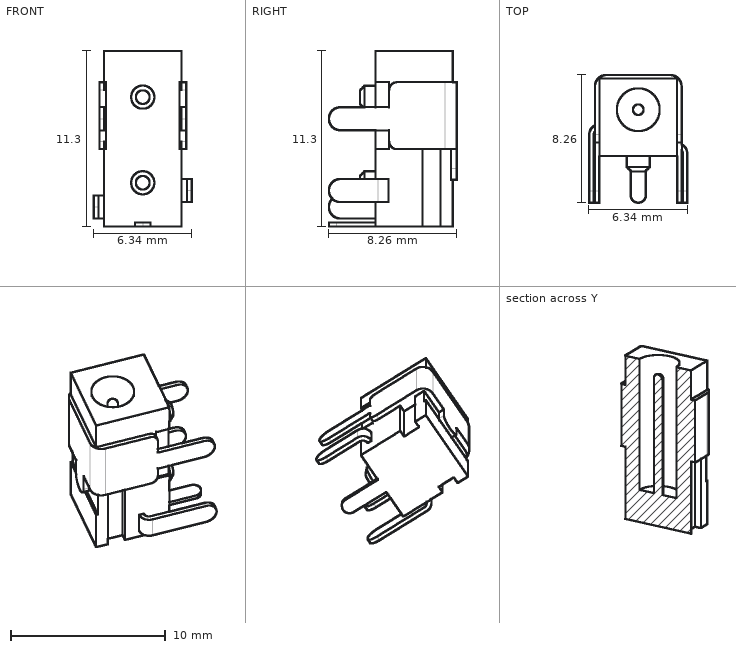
import cadquery as cq

body_side = 5.0
body_height = 11.35
half_side = body_side / 2
front_y = -half_side

socket_y = 0.5
socket_radius = 1.38
socket_depth = 9.08
contact_radius = 0.34
contact_tip_z = body_height - 0.8

end_rounding = 0.999
sheet = 0.31
terminal_reach = 3.01
terminal_end_y = front_y - terminal_reach
tail_width = 1.5
bent_tail_outer_x = 3.172
left_tail_bottom_z = 0.52
left_tail_back_y = -0.44
right_tail_bottom_z = 1.59
right_tail_back_y = -1.67
bottom_tail_width = 1.0
bottom_tail_thickness = 0.28

shell_bottom_z = 5.0
shell_height = 4.32
shell_outer_x = half_side + sheet
shell_back_y = half_side + 0.25
shell_corner_radius = 0.77
shell_front_y = front_y + 0.9
shell_edge_radius = 0.5
shell_tail_bottom_z = 6.22
tab_length = 1.99

relief_depth = 0.12
groove_depth = 0.45
groove_front_y = 0.53
groove_back_y = 1.69

peg_radius = 0.75
peg_length = 1.0
peg_chamfer = 0.31
peg_heights = (2.84, 8.36)


def box(x0, x1, y0, y1, z0, z1):
    """Box between opposite corner coordinates."""
    return cq.Workplane("XY").box(x1 - x0, y1 - y0, z1 - z0, centered=False).translate((x0, y0, z0))


def upright_tail(x0, back_y, bottom_z):
    """Flat tail in the YZ plane with a fully rounded front end."""
    radius = tail_width / 2
    tail = box(x0, x0 + sheet, terminal_end_y, back_y, bottom_z, bottom_z + tail_width)
    return tail.edges("|X and <Y").fillet(radius * end_rounding)


def bent_tail(side, back_y, bottom_z):
    """Tail leaving a housing side face and bending forward; side is -1 or 1."""
    bend_radius = bent_tail_outer_x - half_side
    inner_radius = bend_radius - sheet
    bend_y = back_y - bend_radius
    ring = (
        cq.Workplane("XY", origin=(side * half_side, bend_y, bottom_z))
        .circle(bend_radius)
        .circle(inner_radius)
        .extrude(tail_width)
    )
    inside_x = half_side - sheet
    x0, x1 = sorted((side * inside_x, side * bent_tail_outer_x))
    bend = ring.intersect(box(x0, x1, bend_y, back_y, bottom_z, bottom_z + tail_width))
    tail_x0 = min(side * bent_tail_outer_x, side * (bent_tail_outer_x - sheet))
    return bend.union(upright_tail(tail_x0, bend_y, bottom_z))


def make_shell():
    """U-shaped shell with two forward tails and a rounded tab on its back."""
    top_z = shell_bottom_z + shell_height
    outer = box(-shell_outer_x, shell_outer_x, shell_front_y, shell_back_y, shell_bottom_z, top_z)
    outer = outer.edges("|Z and >Y").fillet(shell_corner_radius)
    inner = box(-half_side, half_side, shell_front_y, shell_back_y - sheet, shell_bottom_z, top_z)
    inner = inner.edges("|Z and >Y").fillet(shell_corner_radius - sheet)
    shell = outer.cut(inner).edges("|X and <Y").fillet(shell_edge_radius)
    for x0 in (-shell_outer_x, half_side):
        shell = shell.union(upright_tail(x0, shell_front_y + shell_edge_radius, shell_tail_bottom_z))
    tab = box(
        -tail_width / 2, tail_width / 2,
        half_side - relief_depth, shell_back_y,
        shell_bottom_z - tab_length, shell_bottom_z,
    )
    return shell.union(tab.edges("|Y and <Z").fillet(tail_width / 2 * end_rounding))


def make_housing():
    """Block with side grooves, reliefs around the shell, and the socket."""
    housing = box(-half_side, half_side, front_y, half_side, 0, body_height)
    top_z = shell_bottom_z + shell_height
    for side in (-1, 1):
        relief_x = sorted((side * half_side, side * (half_side - relief_depth)))
        housing = housing.cut(box(*relief_x, front_y, shell_front_y, shell_bottom_z, top_z))
        groove_x = sorted((side * half_side, side * (half_side - groove_depth)))
        housing = housing.cut(box(*groove_x, groove_front_y, groove_back_y, 0, shell_bottom_z))
    tab_relief = box(
        -half_side, half_side,
        half_side - relief_depth, half_side,
        shell_bottom_z - tab_length, shell_bottom_z,
    )
    socket = (
        cq.Workplane("XY", origin=(0, socket_y, body_height - socket_depth))
        .circle(socket_radius)
        .extrude(socket_depth)
    )
    return housing.cut(tab_relief).cut(socket)


def make_contact():
    """Centre contact standing on the socket floor, with a hemispherical tip."""
    floor_z = body_height - socket_depth
    contact = (
        cq.Workplane("XY", origin=(0, socket_y, floor_z))
        .circle(contact_radius)
        .extrude(contact_tip_z - contact_radius - floor_z)
    )
    tip = cq.Workplane("XY").sphere(contact_radius)
    return contact.union(tip.translate((0, socket_y, contact_tip_z - contact_radius)))


def make_peg(height):
    """Chamfered round peg on the front face."""
    peg = cq.Workplane("XZ", origin=(0, front_y, height)).circle(peg_radius).extrude(peg_length)
    return peg.faces("<Y").chamfer(peg_chamfer)


def make_bottom_tail():
    """Flat tail projecting forward at the base, with a rounded end."""
    half_width = bottom_tail_width / 2
    tail = box(-half_width, half_width, terminal_end_y, front_y, 0, bottom_tail_thickness)
    return tail.edges("|Z and <Y").fillet(half_width * end_rounding)


result = make_housing().union(make_shell()).union(make_contact()).union(make_bottom_tail())
result = result.union(bent_tail(-1, left_tail_back_y, left_tail_bottom_z))
result = result.union(bent_tail(1, right_tail_back_y, right_tail_bottom_z))
for peg_height in peg_heights:
    result = result.union(make_peg(peg_height))